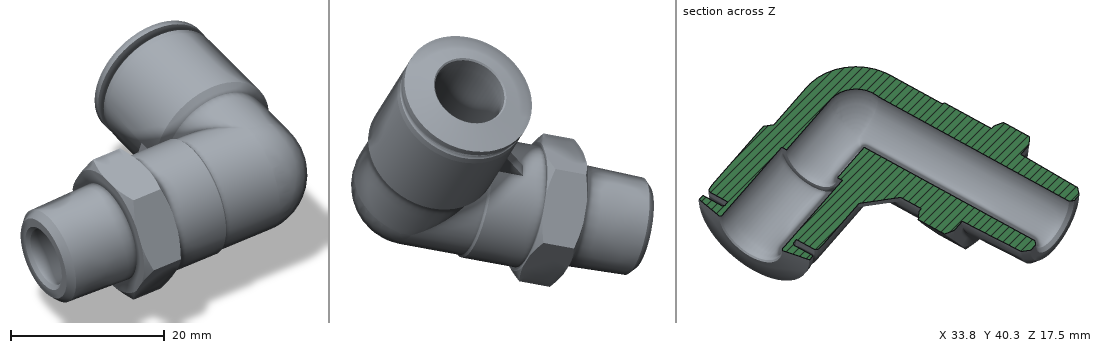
import cadquery as cq
import math


TUBE_END = 24.0
SLEEVE_RADIUS = 17.5 / 2
SLEEVE_START = 7.53
SLEEVE_SHOULDER = 8.55
SLEEVE_END = 21.45
SLEEVE_LIP_LENGTH = 1.15
SLEEVE_LIP_RADIUS = 8.65
SLEEVE_LIP_BEVEL = 0.3
COLLAR_NECK_RADIUS = 10.9 / 2
COLLAR_FLANGE_START = 22.35
COLLAR_FLANGE_EDGE = 23.22
COLLAR_ROOT_BEVEL = 0.25
TUBE_BORE_RADIUS = 9.55 / 2
TUBE_STOP = 10.05
TUBE_MOUTH_CHAMFER = 0.2

ELBOW_RADIUS = 7.75
PASSAGE_RADIUS = 8.0 / 2
THREAD_BORE_RADIUS = 7.8 / 2

SWIVEL_RADIUS = 16.1 / 2
SWIVEL_START = 8.2
SWIVEL_BEVEL = SWIVEL_RADIUS - ELBOW_RADIUS
HEX_START = 15.85
HEX_END = 21.45
HEX_FLATS = 16.9
HEX_CORNERS = HEX_FLATS / math.cos(math.pi / 6)
HEX_BEVEL_RADIUS = 17.1 / 2
HEX_BEVEL_ANGLE = math.radians(30)
THREAD_END = 40.25 - SLEEVE_RADIUS
THREAD_ROOT_RADIUS = 6.72
THREAD_TIP_RADIUS = 6.45
THREAD_CHAMFER = 0.9
THREAD_MOUTH_CHAMFER = 0.5

RIB_THICKNESS = 1.6
RIB_REACH = 20.7


def turned(profile):
    """Revolve (distance, radius) points about the Y axis, distance running toward -Y."""
    points = [(radius, -distance) for distance, radius in profile]
    closed = [(0, points[0][1])] + points + [(0, points[-1][1])]
    return cq.Workplane("XY").polyline(closed).close().revolve(360, (0, 0, 0), (0, 1, 0))


def along_tube(solid):
    """Swing a solid from the threaded arm (-Y) onto the tube arm (-X)."""
    return solid.rotate((0, 0, 0), (0, 0, 1), -90)


def tube_arm():
    return along_tube(turned([
        (0, ELBOW_RADIUS),
        (SLEEVE_START, ELBOW_RADIUS),
        (SLEEVE_SHOULDER, SLEEVE_RADIUS),
        (SLEEVE_END - SLEEVE_LIP_LENGTH, SLEEVE_RADIUS),
        (SLEEVE_END - SLEEVE_LIP_BEVEL, SLEEVE_LIP_RADIUS),
        (SLEEVE_END, SLEEVE_LIP_RADIUS - SLEEVE_LIP_BEVEL),
        (SLEEVE_END, COLLAR_NECK_RADIUS),
        (COLLAR_FLANGE_START - COLLAR_ROOT_BEVEL, COLLAR_NECK_RADIUS),
        (COLLAR_FLANGE_START, COLLAR_NECK_RADIUS + COLLAR_ROOT_BEVEL),
        (COLLAR_FLANGE_START, SLEEVE_RADIUS),
        (COLLAR_FLANGE_EDGE, SLEEVE_RADIUS),
        (TUBE_END, TUBE_BORE_RADIUS + TUBE_MOUTH_CHAMFER),
    ]))


def threaded_arm():
    return turned([
        (0, ELBOW_RADIUS),
        (SWIVEL_START, ELBOW_RADIUS),
        (SWIVEL_START + SWIVEL_BEVEL, SWIVEL_RADIUS),
        (HEX_START, SWIVEL_RADIUS),
        (HEX_END, SWIVEL_RADIUS),
        (HEX_END, THREAD_ROOT_RADIUS),
        (THREAD_END - THREAD_CHAMFER, THREAD_TIP_RADIUS),
        (THREAD_END, THREAD_TIP_RADIUS - THREAD_CHAMFER),
    ])


def hexagon():
    """Hexagon with corners on +X and -X, its corners turned down at both faces."""
    corner_radius = HEX_CORNERS / 2
    bevel = (corner_radius - HEX_BEVEL_RADIUS) * math.tan(HEX_BEVEL_ANGLE)
    prism = (
        cq.Workplane("XZ", origin=(0, -HEX_START, 0))
        .polygon(6, HEX_CORNERS)
        .extrude(HEX_END - HEX_START)
    )
    envelope = turned([
        (HEX_START, HEX_BEVEL_RADIUS),
        (HEX_START + bevel, corner_radius),
        (HEX_END - bevel, corner_radius),
        (HEX_END, HEX_BEVEL_RADIUS),
    ])
    return prism.intersect(envelope)


def rib():
    inner = RIB_REACH / 4
    tip = RIB_REACH - inner
    return (
        cq.Workplane("XY")
        .polyline([(-inner, -inner), (-tip, -inner), (-inner, -tip)])
        .close()
        .extrude(RIB_THICKNESS / 2, both=True)
    )


def tube_passage():
    return along_tube(turned([
        (0, PASSAGE_RADIUS),
        (TUBE_STOP, PASSAGE_RADIUS),
        (TUBE_STOP, TUBE_BORE_RADIUS),
        (TUBE_END - TUBE_MOUTH_CHAMFER, TUBE_BORE_RADIUS),
        (TUBE_END, TUBE_BORE_RADIUS + TUBE_MOUTH_CHAMFER),
    ]))


def thread_passage():
    return turned([
        (0, THREAD_BORE_RADIUS),
        (THREAD_END - THREAD_MOUTH_CHAMFER, THREAD_BORE_RADIUS),
        (THREAD_END, THREAD_BORE_RADIUS + THREAD_MOUTH_CHAMFER),
    ])


outside = (
    cq.Workplane("XY")
    .sphere(ELBOW_RADIUS)
    .union(tube_arm())
    .union(threaded_arm())
    .union(hexagon())
    .union(rib())
)
passage_corner = cq.Workplane("XY").sphere(PASSAGE_RADIUS)
result = outside.cut(passage_corner).cut(tube_passage()).cut(thread_passage())